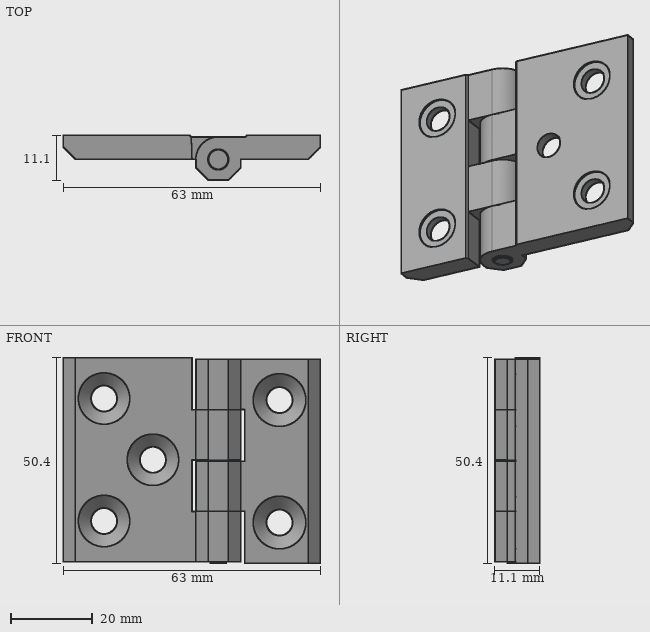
import cadquery as cq


overall_width = 63.0
wide_leaf_reach = 38.0
narrow_leaf_reach = overall_width - wide_leaf_reach
leaf_height = 50.0
leaf_stagger = 0.4
leaf_thickness = 6.0
edge_chamfer = 3.0

barrel_width = 11.0
barrel_half_width = barrel_width / 2
barrel_front = -5.05
barrel_chamfer = 3.0
back_relief = leaf_thickness - barrel_half_width
wall_back_x = 6.6
wall_front_x = 6.4
knuckle_length = 12.35

bore_diameter = 5.0
pin_diameter = 4.85
pin_tip_diameter = 4.0
pin_tip_length = leaf_stagger
pin_length = leaf_height - leaf_stagger

screw_diameter = 6.3
wide_sink_diameter = 12.6
narrow_sink_diameter = 12.9
rear_recess_diameter = 10.0
screw_inset = 10.0
middle_screw_inset = 22.0
screw_offset = leaf_height / 2 - screw_inset
rear_recess_depth = 0.5

leaf_bottom = -(leaf_height + leaf_stagger) / 2
leaf_top = leaf_bottom + leaf_height
leaf_middle = (leaf_bottom + leaf_top) / 2


def extrude_up(profile, bottom, length):
    """Extrude a closed XY outline upwards from the height `bottom`."""
    return profile.extrude(length).translate((0, 0, bottom))


def make_plate(reach):
    profile = (
        cq.Workplane("XY")
        .moveTo(wall_front_x, 0)
        .lineTo(reach - edge_chamfer, 0)
        .lineTo(reach, edge_chamfer)
        .lineTo(reach, leaf_thickness)
        .lineTo(wall_back_x + back_relief, leaf_thickness)
        .lineTo(wall_back_x, barrel_half_width)
        .close()
    )
    return extrude_up(profile, leaf_bottom, leaf_height)


def make_knuckle(bottom):
    """Knuckle with its web to the plate wall, bored for the pin."""
    diagonal = barrel_half_width * 0.5 ** 0.5
    profile = (
        cq.Workplane("XY")
        .moveTo(wall_front_x, 0)
        .lineTo(barrel_half_width, 0)
        .lineTo(barrel_half_width, barrel_front + barrel_chamfer)
        .lineTo(barrel_half_width - barrel_chamfer, barrel_front)
        .lineTo(barrel_chamfer - barrel_half_width, barrel_front)
        .lineTo(-barrel_half_width, barrel_front + barrel_chamfer)
        .lineTo(-barrel_half_width, 0)
        .threePointArc((-diagonal, diagonal), (0, barrel_half_width))
        .lineTo(wall_back_x, barrel_half_width)
        .close()
    )
    bore = cq.Workplane("XY").circle(bore_diameter / 2)
    return extrude_up(profile, bottom, knuckle_length).cut(extrude_up(bore, bottom, knuckle_length))


def make_screw_hole(x, z, sink_diameter):
    """Cutter for a through hole with a 90 degree countersink in the front face."""
    screw_radius = screw_diameter / 2
    sink_radius = sink_diameter / 2
    return (
        cq.Workplane("XY")
        .lineTo(sink_radius, 0)
        .lineTo(screw_radius, sink_radius - screw_radius)
        .lineTo(screw_radius, leaf_thickness)
        .lineTo(0, leaf_thickness)
        .close()
        .revolve(360, (0, 0), (0, 1))
        .translate((x, 0, z))
    )


def make_rear_recess(x, z):
    """Cutter for the round recess in the back face behind a screw hole."""
    recess = cq.Workplane("XZ").circle(rear_recess_diameter / 2).extrude(-rear_recess_depth)
    return recess.translate((x, leaf_thickness - rear_recess_depth, z))


def make_leaf(reach, sink_diameter):
    """Leaf reaching towards +X; its knuckles are the first and third from the top."""
    leaf = make_plate(reach)
    lower_knuckle_bottom = leaf_bottom + leaf_stagger + knuckle_length
    for bottom in (leaf_top - knuckle_length, lower_knuckle_bottom):
        leaf = leaf.union(make_knuckle(bottom))
    for z in (leaf_middle - screw_offset, leaf_middle + screw_offset):
        x = reach - screw_inset
        leaf = leaf.cut(make_screw_hole(x, z, sink_diameter))
        leaf = leaf.cut(make_rear_recess(x, z))
    return leaf


def make_pin():
    """Pin set below the top of the barrel, with a thinner tip standing out at the bottom."""
    tip = cq.Workplane("XY").circle(pin_tip_diameter / 2)
    body = cq.Workplane("XY").circle(pin_diameter / 2)
    pin = extrude_up(tip, leaf_bottom, pin_tip_length)
    return pin.union(extrude_up(body, leaf_bottom + pin_tip_length, pin_length - pin_tip_length))


right_leaf = make_leaf(narrow_leaf_reach, narrow_sink_diameter)

left_leaf = make_leaf(wide_leaf_reach, wide_sink_diameter)
left_leaf = left_leaf.cut(
    make_screw_hole(wide_leaf_reach - middle_screw_inset, leaf_middle, wide_sink_diameter)
)
left_leaf = left_leaf.rotate((0, 0, 0), (0, 1, 0), 180)

pin = make_pin()

result = cq.Compound.makeCompound([left_leaf.val(), right_leaf.val(), pin.val()])